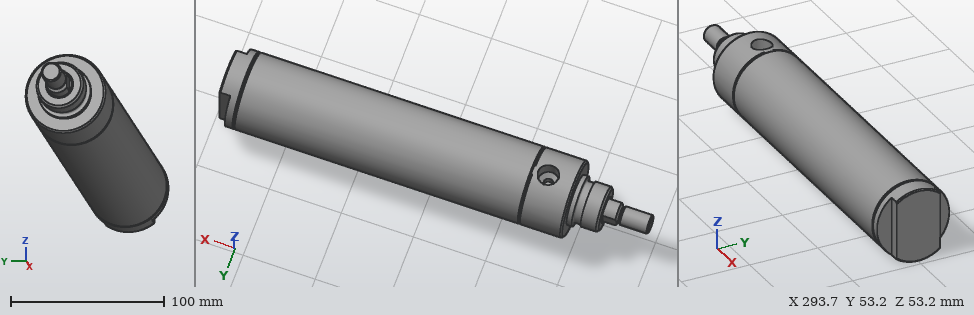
import cadquery as cq
import math

total_length = 293.7
body_diameter = 53.2
body_radius = body_diameter / 2

cutter_overshoot = 3.0

rod_radius = 8.0
thread_radius = 6.5
thread_length = 19.0
tip_chamfer = 1.0
neck_radius = 5.5
neck_floor_start = 20.3
neck_floor_end = 20.9
shoulder_x = 22.3
wrench_flat_half_width = 6.5

nose_x = 31.0
nose_radius = 15.5
nose_chamfer = 1.5
bore_chamfer = 1.2
relief_start_x = 43.2
relief_radius = 14.5
relief_fillet = nose_radius - relief_radius
collar_x = 48.7
collar_radius = 17.3
head_x = 52.3
head_chamfer = 1.2

front_joint_x = 82.0
rear_joint_x = 280.0
joint_half_width = 1.0
joint_depth = 0.3

port_x = 71.0
port_radius = 7.0
port_hole_radius = 3.2
port_floor_z = 14.7
drill_point_angle = 118

cap_chamfer = 1.0
cap_flat_x = 286.0
cap_flat_half_width = 16.0


def turned(profile):
    """Solid of revolution about X from (x, radius) points; the ends close on the axis."""
    first_x = profile[0][0]
    last_x = profile[-1][0]
    outline = [(first_x, 0), *profile, (last_x, 0)]
    return cq.Workplane("XZ").polyline(outline).close().revolve(360, (0, 0, 0), (1, 0, 0))


def flats_cutter(start_x, end_x, half_width):
    """Two blocks that leave parallel flats at Y = +half_width and Y = -half_width."""
    block_depth = body_radius
    spacing = half_width + block_depth / 2
    return (
        cq.Workplane("XY")
        .pushPoints([((start_x + end_x) / 2, side * spacing) for side in (1, -1)])
        .box(end_x - start_x, block_depth, body_diameter + cutter_overshoot)
    )


def make_rod():
    rod = turned([
        (0, thread_radius - tip_chamfer),
        (tip_chamfer, thread_radius),
        (thread_length, thread_radius),
        (neck_floor_start, neck_radius),
        (neck_floor_end, neck_radius),
        (shoulder_x, rod_radius),
        (front_joint_x, rod_radius),
    ])
    return rod.cut(flats_cutter(neck_floor_end, nose_x, wrench_flat_half_width))


def port_cutter():
    """Drilled port with a conical floor and a small hole that reaches the rod."""
    cone_height = (port_radius - port_hole_radius) / math.tan(math.radians(drill_point_angle / 2))
    outline = [
        (0, 0),
        (port_hole_radius, 0),
        (port_hole_radius, port_floor_z - cone_height),
        (port_radius, port_floor_z),
        (port_radius, body_radius + cutter_overshoot),
        (0, body_radius + cutter_overshoot),
    ]
    port = cq.Workplane("XZ").polyline(outline).close().revolve(360, (0, 0, 0), (0, 1, 0))
    return port.translate((port_x, 0, 0))


def relief_cutter():
    """Ring groove between nose and collar, with a quarter-round corner at each side of its floor."""
    return (
        cq.Workplane("XZ")
        .moveTo(relief_start_x, nose_radius)
        .radiusArc((relief_start_x + relief_fillet, relief_radius), -relief_fillet)
        .lineTo(collar_x - relief_fillet, relief_radius)
        .radiusArc((collar_x, nose_radius), -relief_fillet)
        .close()
        .revolve(360, (0, 0, 0), (1, 0, 0))
    )


def make_head():
    head = turned([
        (nose_x, nose_radius - nose_chamfer),
        (nose_x + nose_chamfer, nose_radius),
        (collar_x, nose_radius),
        (collar_x, collar_radius),
        (head_x, collar_radius),
        (head_x, body_radius - head_chamfer),
        (head_x + head_chamfer, body_radius),
        (front_joint_x - joint_half_width, body_radius),
        (front_joint_x, body_radius - joint_depth),
    ])
    rod_bore = turned([
        (nose_x, rod_radius + bore_chamfer),
        (nose_x + bore_chamfer, rod_radius),
        (front_joint_x, rod_radius),
    ])
    return head.cut(relief_cutter()).cut(rod_bore).cut(port_cutter())


def make_barrel():
    return turned([
        (front_joint_x, body_radius - joint_depth),
        (front_joint_x + joint_half_width, body_radius),
        (rear_joint_x - joint_half_width, body_radius),
        (rear_joint_x, body_radius - joint_depth),
    ])


def make_rear_cap():
    cap = turned([
        (rear_joint_x, body_radius - joint_depth),
        (rear_joint_x + joint_half_width, body_radius),
        (total_length - cap_chamfer, body_radius),
        (total_length, body_radius - cap_chamfer),
    ])
    return cap.cut(flats_cutter(cap_flat_x, total_length, cap_flat_half_width))


rod = make_rod()
head = make_head()
barrel = make_barrel()
rear_cap = make_rear_cap()

result = cq.Compound.makeCompound([rod.val(), head.val(), barrel.val(), rear_cap.val()])